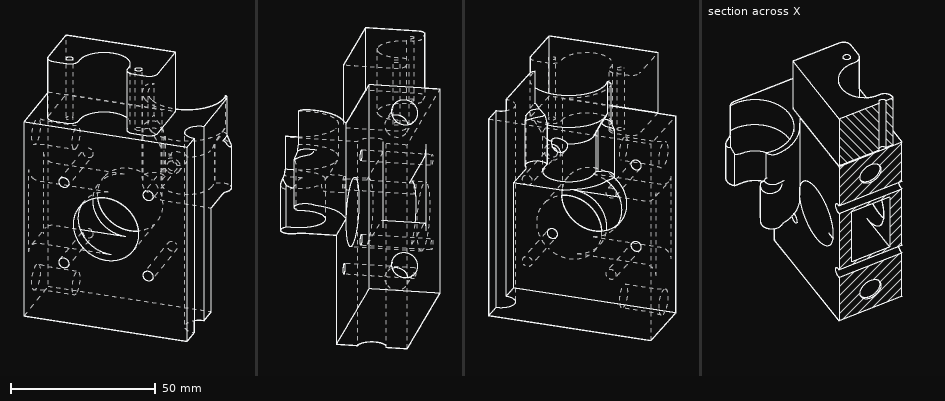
import cadquery as cq
import math

total_height = 98.0

plate_length = 60.0
plate_depth = 25.0
plate_height = 74.9
mid_depth = plate_depth / 2

bore_diameter = 24.0
bore_x = 30.2
bore_z = 38.4
screw_pitch = 31.0
screw_diameter = 3.7

window_width = 15.1
window_mouth_radius = 3.7

side_hole_pitch = 56.1
side_hole_mouth_radius = 4.6
side_hole_radius = 4.1
side_hole_taper_length = 3.4
side_hole_depth = 14.7

channel_radius = 5.0

clip_x = 45.5
clip_y = 40.8
clip_bottom = 40.0
clip_outer_radius = 15.5
clip_inner_radius = 9.0
clip_tip_radius = 3.0
web_angle = math.radians(30)

bead_radius = 3.9
bead_right = 61.5
bead_back = 45.1
bead_pitch = 24.6
bead_blend_radius = 2.9
bead_x = bead_right - bead_radius - bead_pitch / 2
bead_y = bead_back - bead_radius
bead_top = 60.4
bead_flare_angle = math.radians(21)
bead_flare_height = 7.8
bead_overlap = 1.0
bead_core_top = bead_top + bead_overlap / math.tan(bead_flare_angle)

socket_radius = 13.5
socket_depth = 12.2
socket_cone_height = 8.3

screw_head_diameter = 6.0

block_gap = 0.2
block_length = 40.3
block_left = 6.6
block_front = 3.5
block_leg_radius = 3.0
block_slot_radius = 9.0
block_slot_y = 7.8
block_screw_pitch = 25.4
block_screw_y = 7.7
block_screw_diameter = 2.5


def cylinder_along_y(radius, x, z, start, length):
    return cq.Workplane(cq.Solid.makeCylinder(radius, length, cq.Vector(x, start, z), cq.Vector(0, 1, 0)))


def screw_positions():
    """X and Z of the four screws in a square around the motor bore."""
    half = screw_pitch / 2
    return [(bore_x + side_x * half, bore_z + side_z * half) for side_x in (-1, 1) for side_z in (-1, 1)]


def make_plate():
    plate = cq.Workplane().box(plate_length, plate_depth, plate_height, centered=False)
    plate = plate.cut(cylinder_along_y(bore_diameter / 2, bore_x, bore_z, 0, plate_depth))
    for x, z in screw_positions():
        plate = plate.cut(cylinder_along_y(screw_diameter / 2, x, z, 0, plate_depth))
    return plate


def make_window():
    """Passage as tall as the motor bore, with its upper and lower mouth edges rounded outwards."""
    half = bore_diameter / 2
    mouth_half = half + window_mouth_radius
    round_mid = window_mouth_radius * (1 - math.sqrt(0.5))
    return (
        cq.Workplane("XZ", origin=(0, mid_depth, bore_z))
        .moveTo(0, mouth_half)
        .threePointArc((round_mid, half + round_mid), (window_mouth_radius, half))
        .lineTo(bore_x, half)
        .lineTo(bore_x, -half)
        .lineTo(window_mouth_radius, -half)
        .threePointArc((round_mid, -half - round_mid), (0, -mouth_half))
        .close()
        .extrude(window_width / 2, both=True)
    )


def make_side_hole(z):
    return (
        cq.Workplane("XY", origin=(0, mid_depth, z))
        .polyline([
            (0, 0),
            (0, side_hole_mouth_radius),
            (side_hole_taper_length, side_hole_radius),
            (side_hole_depth, side_hole_radius),
            (side_hole_depth, 0),
        ])
        .close()
        .revolve(360, (0, 0, 0), (1, 0, 0))
    )


def make_channel():
    return (
        cq.Workplane("XY", origin=(plate_length, mid_depth, 0))
        .circle(channel_radius)
        .extrude(plate_height)
    )


def clip_outline(z, growth=0.0):
    """Outer outline of the clip without its bore, offset outwards by growth."""
    arc_radius = clip_outer_radius + growth
    corner_radius = clip_tip_radius + growth
    corner_mid = corner_radius * (1 - math.sqrt(0.5))
    left = clip_x - arc_radius
    right = plate_length + growth
    tip = clip_y + corner_radius
    run_out_x = clip_x - arc_radius * math.sin(web_angle)
    run_out_y = clip_y - arc_radius * math.cos(web_angle)
    foot_x = run_out_x + (run_out_y - plate_depth) / math.tan(web_angle)
    arc_mid_angle = (math.pi / 2 + web_angle) / 2
    arc_mid_x = clip_x - arc_radius * math.sin(arc_mid_angle)
    arc_mid_y = clip_y - arc_radius * math.cos(arc_mid_angle)
    return (
        cq.Workplane("XY", origin=(0, 0, z))
        .moveTo(left, clip_y)
        .threePointArc((arc_mid_x, arc_mid_y), (run_out_x, run_out_y))
        .lineTo(foot_x, plate_depth)
        .lineTo(right, plate_depth)
        .lineTo(right, clip_y)
        .threePointArc((right - corner_mid, tip - corner_mid), (right - corner_radius, tip))
        .lineTo(left + corner_radius, tip)
        .threePointArc((left + corner_mid, tip - corner_mid), (left, clip_y))
        .close()
    )


def make_bead_limit():
    """Space that the beads may fill: from the arm outline at the shoulder it flares outwards going down."""
    flare_bottom = bead_top - bead_flare_height
    flare_growth = bead_flare_height * math.tan(bead_flare_angle)
    top_wire = clip_outline(bead_core_top, -bead_overlap).val()
    bottom_wire = clip_outline(flare_bottom, flare_growth).val()
    flare = cq.Workplane(cq.Solid.makeLoft([bottom_wire, top_wire], True))
    below_flare = clip_outline(clip_bottom, flare_growth).extrude(flare_bottom - clip_bottom)
    return flare.union(below_flare)


def make_beaded_arms():
    """Clip body up to the shoulder, with a bead blended onto the end of each arm."""
    height = bead_core_top - clip_bottom
    arms = clip_outline(clip_bottom).extrude(height)
    beads = (
        cq.Workplane("XY", origin=(bead_x, bead_y, clip_bottom))
        .pushPoints([(-bead_pitch / 2, 0), (bead_pitch / 2, 0)])
        .circle(bead_radius)
        .extrude(height)
    )
    arms = arms.union(beads)
    diagonal = bead_radius * math.sqrt(0.5)
    for side in (-1, 1):
        corner = (bead_x + side * (bead_pitch / 2 + diagonal), bead_y - diagonal, clip_bottom + height / 2)
        arms = arms.edges("|Z").edges(cq.NearestToPointSelector(corner)).fillet(bead_blend_radius)
    return arms.intersect(make_bead_limit())


def make_clip_bore():
    slot_width = 2 * clip_inner_radius
    height = plate_height - clip_bottom
    base = cq.Workplane("XY", origin=(clip_x, clip_y, clip_bottom))
    bore = base.circle(clip_inner_radius).extrude(height)
    mouth = base.center(0, clip_outer_radius).rect(slot_width, 2 * clip_outer_radius).extrude(height)
    return bore.union(mouth)


def make_socket():
    floor = plate_height - socket_depth
    socket = cq.Workplane("XY", origin=(clip_x, clip_y, floor)).circle(socket_radius).extrude(socket_depth)
    cone = cq.Solid.makeCone(
        clip_inner_radius, socket_radius, socket_cone_height,
        cq.Vector(clip_x, clip_y, floor - socket_cone_height),
    )
    return socket.union(cq.Workplane(cone))


def make_clip():
    clip = clip_outline(clip_bottom).extrude(plate_height - clip_bottom)
    clip = clip.union(make_beaded_arms())
    clip = clip.cut(make_clip_bore()).cut(make_socket())
    for x, z in screw_positions():
        clip = clip.cut(cylinder_along_y(screw_head_diameter / 2, x, z, plate_depth, clip_y - plate_depth))
    return clip


def make_housing():
    housing = make_plate().cut(make_window())
    for side in (-1, 1):
        housing = housing.cut(make_side_hole(plate_height / 2 + side * side_hole_pitch / 2))
    return housing.cut(make_channel()).union(make_clip())


def make_block():
    bottom = plate_height + block_gap
    height = total_height - bottom
    depth = plate_depth - block_front
    center_x = block_left + block_length / 2
    base = cq.Workplane("XY", origin=(center_x, 0, bottom))
    block = base.center(0, block_front + depth / 2).rect(block_length, depth).extrude(height)
    slot = base.center(0, block_slot_y).circle(block_slot_radius).extrude(height)
    slot_mouth = base.center(0, block_slot_y / 2).rect(2 * block_slot_radius, block_slot_y).extrude(height)
    block = block.cut(slot.union(slot_mouth))
    block = block.edges("|Z and <Y").fillet(block_leg_radius)
    screw_points = [(side * block_screw_pitch / 2, block_screw_y) for side in (-1, 1)]
    return block.cut(base.pushPoints(screw_points).circle(block_screw_diameter / 2).extrude(height))


housing = make_housing()
block = make_block()
result = cq.Compound.makeCompound([housing.val(), block.val()])